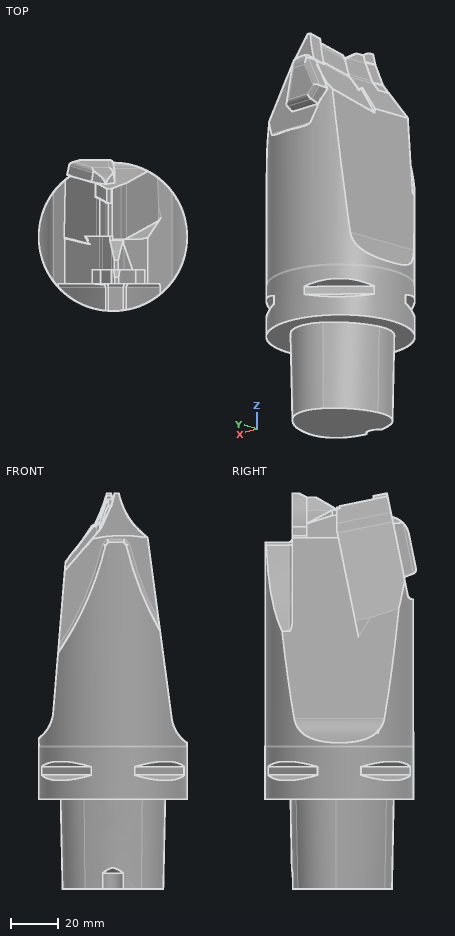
import cadquery as cq
import math

SHANK_LENGTH = 38.0
TIP_Z = 130.0
FAR = 80.0

SHANK_FLAT_RADIUS = 20.8
SHANK_LOBE_RADIUS = 23.2
SEAM_HALF_WIDTH = 12.35
SEAM_DEPTH = 18.4
SHANK_TAPER = 0.75

NOTCH_RADIUS = 5.0
NOTCH_AXIS_Y = -22.2
NOTCH_SHOULDER_Z = -31.2
NOTCH_CONE_HEIGHT = 3.6

FLANGE_RADIUS = 63.19 / 2
FLANGE_TOP_Z = 22.8
FLANGE_LIP = 0.5
GROOVE_Z = 12.1
GROOVE_FLOOR_RADIUS = 27.8
GROOVE_FLOOR_WIDTH = 3.4
GROOVE_MOUTH_WIDTH = 8.0
GROOVE_HALF_LENGTH = 14.8

COLUMN_RADIUS = 63.0 / 2
LEFT_FLAT_FOOT = (-25.4, 36.9)
LEFT_FLAT_TOP = (-20.5, 97.0)
RIGHT_FLAT_FOOT = (25.0, 34.5)
RIGHT_FLAT_TOP = (14.8, 111.0)
RUNOUT_RADIUS = 15.0

CREST_Z = 128.3
VALLEY_Z = 123.3
RIGHT_SHOULDER = (8.3, 117.0)
STEP_Y = 0.3
NICK_HEIGHT = 14.0

REAR_TILT = 11.5
REAR_ORIGIN = (0.0, 0.45, 95.1)
REAR_FACE = 26.4
TIP_BLOCK_THICKNESS = 6.1
GULLET_FLOOR_Z = 85.0
GULLET_FILLET = 2.0

FRONT_FACE_Y = -20.0
RIB_AXIS_X = 1.26
RIB_TOP_Z = 109.2
RIB_BEVEL_HEIGHT = 1.4
RIB_FILLET = 1.5
INSERT_THICKNESS = 6.1
INSERT_RELIEF_DEPTH = 3.3
INSERT_RELIEF_HEIGHT = 1.7
INSERT_BACK_Y = FRONT_FACE_Y + INSERT_THICKNESS

PERIPHERAL_THICKNESS = 5.68
PERIPHERAL_TOP = 20.0
PERIPHERAL_TAPER = 10.0
PERIPHERAL_ROUNDING = 2.0


def prism_along_y(sketch, y_start, y_end):
    """Extrudes a closed X-Z outline between two Y values."""
    return sketch.extrude(-(y_end - y_start)).translate((0, y_start, 0))


def lean(shape):
    """Moves a shape from the rear leaning frame to its place."""
    return shape.rotate((0, 0, 0), (1, 0, 0), REAR_TILT).translate(REAR_ORIGIN)


def turned(point, degrees):
    """Turns an X-Y point about the tool axis."""
    angle = math.radians(degrees)
    x, y = point
    return (
        x * math.cos(angle) - y * math.sin(angle),
        x * math.sin(angle) + y * math.cos(angle),
    )


def shank_outline(plane, inset):
    """Six arcs: three shallow sides joined by three tighter lobes, one lobe pointing to +Y."""
    half_width = SEAM_HALF_WIDTH - inset / 2
    depth = SEAM_DEPTH - inset
    outline = plane.moveTo(-half_width, -depth)
    for turn in (0, 120, 240):
        side_middle = turned((0, inset - SHANK_FLAT_RADIUS), turn)
        side_end = turned((half_width, -depth), turn)
        lobe_middle = turned((0, inset - SHANK_LOBE_RADIUS), turn + 60)
        lobe_end = turned((-half_width, -depth), turn + 120)
        outline = outline.threePointArc(side_middle, side_end).threePointArc(lobe_middle, lobe_end)
    return outline.close()


def make_shank():
    upper = shank_outline(cq.Workplane("XY"), 0)
    shank = shank_outline(upper.workplane(offset=-SHANK_LENGTH), SHANK_TAPER).loft(ruled=True)
    notch = (
        cq.Workplane("XZ")
        .moveTo(0, -FAR)
        .lineTo(NOTCH_RADIUS, -FAR)
        .lineTo(NOTCH_RADIUS, NOTCH_SHOULDER_Z)
        .lineTo(0, NOTCH_SHOULDER_Z + NOTCH_CONE_HEIGHT)
        .close()
        .revolve(360, (0, 0, 0), (0, 1, 0))
        .translate((0, NOTCH_AXIS_Y, 0))
    )
    return shank.cut(notch)


def make_flange():
    flange = (
        cq.Workplane("XZ")
        .polyline([
            (0, 0),
            (FLANGE_RADIUS, 0),
            (FLANGE_RADIUS, FLANGE_TOP_Z - FLANGE_LIP),
            (COLUMN_RADIUS, FLANGE_TOP_Z),
            (0, FLANGE_TOP_Z),
        ])
        .close()
        .revolve(360, (0, 0, 0), (0, 1, 0))
    )
    for angle in (45, 135, 225, 315):
        groove = (
            cq.Workplane("XZ")
            .polyline([
                (GROOVE_FLOOR_RADIUS, GROOVE_Z - GROOVE_FLOOR_WIDTH / 2),
                (COLUMN_RADIUS, GROOVE_Z - GROOVE_MOUTH_WIDTH / 2),
                (FAR, GROOVE_Z - GROOVE_MOUTH_WIDTH / 2),
                (FAR, GROOVE_Z + GROOVE_MOUTH_WIDTH / 2),
                (COLUMN_RADIUS, GROOVE_Z + GROOVE_MOUTH_WIDTH / 2),
                (GROOVE_FLOOR_RADIUS, GROOVE_Z + GROOVE_FLOOR_WIDTH / 2),
            ])
            .close()
            .extrude(GROOVE_HALF_LENGTH, both=True)
            .rotate((0, 0, 0), (0, 0, 1), angle)
        )
        flange = flange.cut(groove)
    return flange


def side_cut(foot, top):
    """Material removed outside one leaning flat, with a tangent curve running out at its foot."""
    side = math.copysign(1, foot[0])
    slope = (top[0] - foot[0]) / (top[1] - foot[1])
    lean_angle = math.atan(slope)
    centre = (
        foot[0] + side * RUNOUT_RADIUS * math.cos(lean_angle),
        foot[1] - side * RUNOUT_RADIUS * math.sin(lean_angle),
    )

    def on_curve(angle):
        return (
            centre[0] - side * RUNOUT_RADIUS * math.cos(angle),
            centre[1] - RUNOUT_RADIUS * math.sin(angle),
        )

    outline = (
        cq.Workplane("XZ")
        .moveTo(*foot)
        .threePointArc(on_curve(math.radians(45)), on_curve(math.radians(90)))
        .lineTo(side * FAR, centre[1] - RUNOUT_RADIUS)
        .lineTo(side * FAR, 2 * TIP_Z)
        .lineTo(foot[0] + slope * (2 * TIP_Z - foot[1]), 2 * TIP_Z)
        .close()
    )
    return prism_along_y(outline, -FAR, FAR)


def make_column():
    column = cq.Workplane("XY").workplane(offset=FLANGE_TOP_Z).circle(COLUMN_RADIUS).extrude(TIP_Z)
    column = column.cut(side_cut(LEFT_FLAT_FOOT, LEFT_FLAT_TOP))
    return column.cut(side_cut(RIGHT_FLAT_FOOT, RIGHT_FLAT_TOP))


def front_roof():
    """Front half of the head seen along Y: a broad slope, a steep web and a narrow crest."""
    outline = cq.Workplane("XZ").polyline([
        (-FAR, 0),
        (-FAR, 27.0),
        (-5.8, 114.2),
        (-4.6, 115.8),
        (-0.8, 124.5),
        (0.6, CREST_Z),
        (2.2, CREST_Z),
        (4.5, 122.8),
        RIGHT_SHOULDER,
        RIGHT_FLAT_TOP,
        (FAR, 60.0),
        (FAR, 0),
    ]).close()
    return prism_along_y(outline, -FAR, FAR)


def rear_roof():
    """Rear half of the head in the leaning frame: same left side, long steep right side."""
    outline = cq.Workplane("XZ").polyline([
        (-FAR, -2 * FAR),
        (-FAR, -74.0),
        (-20.7, 0),
        (-7.0, 17.4),
        (-5.6, 19.0),
        (-3.0, 27.0),
        (-2.0, 28.9),
        (-0.2, 28.9),
        (3.3, 22.0),
        (5.6, 18.0),
        (19.3, -20.0),
        (41.0, -2 * FAR),
    ]).close()
    return lean(prism_along_y(outline, -FAR, FAR))


def front_zone():
    """Zone in front of the leaning step between the two halves; the left step has a sharp nick."""
    drift = math.tan(math.radians(REAR_TILT))
    nick_foot = (-0.3, 95.1)
    nick_top = (nick_foot[0] - drift * NICK_HEIGHT, nick_foot[1] + NICK_HEIGHT)
    left_step = [nick_top, (STEP_Y, 107.0), (STEP_Y, 2 * TIP_Z)]
    right_knee = (-1.0, 114.0)
    right_step = [right_knee, (right_knee[0], 2 * TIP_Z)]

    def half(step, length):
        knee_y, knee_z = step[0]
        corners = [(-FAR, 0), (knee_y + drift * knee_z, 0), *step, (-FAR, 2 * TIP_Z)]
        return cq.Workplane("YZ").polyline(corners).close().extrude(length)

    return half(left_step, -FAR).union(half(right_step, FAR))


def centre_valley():
    """Cut that lowers the front crest towards the step."""
    outline = cq.Workplane("YZ").polyline([
        (STEP_Y, VALLEY_Z),
        (-1.5, VALLEY_Z),
        (-6.0, 126.0),
        (-10.0, CREST_Z),
        (-10.0, 2 * TIP_Z),
        (STEP_Y, 2 * TIP_Z),
    ]).close()
    return outline.extrude(FAR, both=True)


def web_thinning():
    """Cut beside the front crest that continues the right shoulder inwards, slanting in plan."""
    inner_x = 4.5
    slope = (RIGHT_SHOULDER[1] - RIGHT_FLAT_TOP[1]) / (RIGHT_FLAT_TOP[0] - RIGHT_SHOULDER[0])
    inner_z = RIGHT_FLAT_TOP[1] + slope * RIGHT_FLAT_TOP[0]
    above = cq.Workplane("XZ").polyline([
        (0, inner_z),
        RIGHT_FLAT_TOP,
        (RIGHT_FLAT_TOP[0], 2 * TIP_Z),
        (0, 2 * TIP_Z),
    ]).close()
    plan = cq.Workplane("XY").polyline([
        (inner_x, STEP_Y),
        (inner_x, -3.0),
        (RIGHT_SHOULDER[0], INSERT_BACK_Y),
        (RIGHT_FLAT_TOP[0], INSERT_BACK_Y),
        (RIGHT_FLAT_TOP[0], STEP_Y),
    ]).close()
    return prism_along_y(above, -FAR, FAR).intersect(plan.extrude(2 * TIP_Z))


def tip_block():
    """Narrow raised tooth at the rear face, ending in the rear tip."""
    outline = (
        cq.Workplane("XZ")
        .moveTo(-2.6, 30.24)
        .threePointArc((-5.0, 23.0), (-7.6, 17.0))
        .lineTo(5.6, 17.0)
        .lineTo(0.6, 26.0)
        .lineTo(-0.8, 30.24)
        .close()
    )
    return lean(prism_along_y(outline, REAR_FACE - TIP_BLOCK_THICKNESS, REAR_FACE))


def rear_gullet():
    """Open space behind the leaning rear face, down to a level floor."""
    behind = lean(cq.Workplane("XY").box(2 * FAR, FAR, 3 * FAR).translate((0, FAR / 2 + REAR_FACE, 0)))
    above = cq.Workplane("XY").box(2 * FAR, 2 * FAR, FAR, centered=(True, True, False))
    gullet = behind.intersect(above.translate((0, 0, GULLET_FLOOR_Z)))
    return gullet.faces("<Z").edges("<Y").fillet(GULLET_FILLET)


def front_clearing():
    """Space in front of the front rake face, leaving a flaring rib with rounded roots."""
    reach = (32.0, 50.0)
    foot = (24.7, 61.9)
    middle = (12.0, 85.0)
    shoulder = (4.4, RIB_TOP_Z - RIB_BEVEL_HEIGHT)
    crest = (3.2, RIB_TOP_Z)

    def left(point):
        return (RIB_AXIS_X - point[0], point[1])

    def right(point):
        return (RIB_AXIS_X + point[0], point[1])

    outline = (
        cq.Workplane("XZ")
        .moveTo(*left(reach))
        .lineTo(*left(foot))
        .threePointArc(left(middle), left(shoulder))
        .lineTo(*left(crest))
        .lineTo(*right(crest))
        .lineTo(*right(shoulder))
        .threePointArc(right(middle), right(foot))
        .lineTo(*right(reach))
        .lineTo(reach[0] + RIB_AXIS_X, 2 * TIP_Z)
        .lineTo(RIB_AXIS_X - reach[0], 2 * TIP_Z)
        .close()
    )
    clearing = prism_along_y(outline, -FAR, FRONT_FACE_Y)
    rib_root = cq.selectors.BoxSelector(
        (RIB_AXIS_X - reach[0] + 1, FRONT_FACE_Y - 1, reach[1]),
        (RIB_AXIS_X + reach[0] - 1, FRONT_FACE_Y + 1, RIB_TOP_Z + 1),
    )
    return clearing.edges(rib_root).fillet(RIB_FILLET)


def make_centre_insert():
    """Flat pointed cutting plate, its back top corner relieved."""
    outline = (
        cq.Workplane("XZ")
        .moveTo(0.7, TIP_Z)
        .lineTo(2.5, TIP_Z)
        .threePointArc((6.2, 120.5), (13.6, 112.0))
        .lineTo(13.6, 111.2)
        .threePointArc((3.0, 112.0), (-8.8, 110.6))
        .lineTo(-5.4, 114.6)
        .lineTo(-0.6, 125.0)
        .close()
    )
    plate = prism_along_y(outline, FRONT_FACE_Y, INSERT_BACK_Y)
    relief = (
        cq.Workplane("YZ")
        .polyline([
            (INSERT_BACK_Y, TIP_Z),
            (INSERT_BACK_Y - INSERT_RELIEF_DEPTH, TIP_Z),
            (INSERT_BACK_Y, TIP_Z - INSERT_RELIEF_HEIGHT),
        ])
        .close()
        .extrude(FAR, both=True)
    )
    return plate.cut(relief)


def make_peripheral_insert():
    """Plate on the rear rake face, tapering outwards, with a bevelled top and a rounded rim."""
    bevel_foot = 11.5
    outline = cq.Workplane("XZ").polyline([
        (-19.5, 0),
        (-9.0, 16.0),
        (-3.0, PERIPHERAL_TOP),
        (0.8, 17.0),
        (0.8, -6.2),
        (-15.0, -6.2),
    ]).close()
    plate = outline.extrude(-PERIPHERAL_THICKNESS, taper=PERIPHERAL_TAPER)
    plate = plate.faces(">Y").edges().fillet(PERIPHERAL_ROUNDING)
    bevel = (
        cq.Workplane("YZ")
        .moveTo(0, PERIPHERAL_TOP)
        .threePointArc((3.6, 17.2), (PERIPHERAL_THICKNESS, bevel_foot))
        .lineTo(FAR, bevel_foot)
        .lineTo(FAR, FAR)
        .lineTo(0, FAR)
        .close()
        .extrude(FAR, both=True)
    )
    return lean(plate.cut(bevel).translate((0, REAR_FACE, 0)))


def make_holder(centre_insert):
    column = make_column()
    zone = front_zone()
    front = column.intersect(zone).intersect(front_roof()).cut(centre_valley())
    front = front.cut(web_thinning())
    rear = column.cut(zone).intersect(rear_roof()).union(tip_block()).cut(rear_gullet())
    head = front.union(rear).cut(front_clearing()).cut(centre_insert)
    return head.union(make_flange()).union(make_shank())


centre_insert = make_centre_insert()
peripheral_insert = make_peripheral_insert()
holder = make_holder(centre_insert)
result = cq.Compound.makeCompound([
    holder.val(),
    centre_insert.val(),
    peripheral_insert.val(),
])